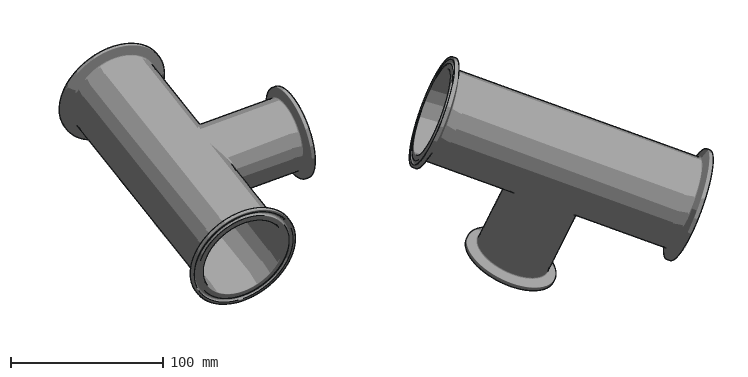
import cadquery as cq
import math

run_length = 184.2
branch_reach = 85.8
run_outer_radius = 63.5 / 2
run_bore_radius = 60.2 / 2
branch_outer_radius = 50.8 / 2
branch_bore_radius = 47.5 / 2
junction_fillet = 1.5

run_flange_radius = 77.3 / 2
branch_flange_radius = 63.9 / 2
rim_width = 2.8
cone_angle = 20.0
neck_fillet = 1.1
edge_fillet = 0.4
ferrule_length = 12.7

groove_inset = 3.3
groove_width = 3.0
groove_depth = 1.5


def ferrule(flange_radius, tube_radius, bore_radius):
    """Bored ferrule with its sealing face at z = 0, tapering along +Z down to the tube."""
    cone_length = (flange_radius - tube_radius) * math.tan(math.radians(cone_angle))
    cone_end = rim_width + cone_length

    neck_turn = math.radians(90 - cone_angle)
    tangent_length = neck_fillet * math.tan(neck_turn / 2)
    cone_direction = (math.cos(math.radians(cone_angle)), -math.sin(math.radians(cone_angle)))
    neck_start = (
        tube_radius + tangent_length * cone_direction[0],
        cone_end + tangent_length * cone_direction[1],
    )
    neck_end = (tube_radius, cone_end + tangent_length)

    groove_center = flange_radius - groove_inset
    groove_inner = groove_center - groove_width / 2
    groove_outer = groove_center + groove_width / 2
    body = (
        cq.Workplane("XZ")
        .moveTo(bore_radius, 0)
        .lineTo(groove_inner, 0)
        .threePointArc((groove_center, groove_depth), (groove_outer, 0))
        .lineTo(flange_radius, 0)
        .lineTo(flange_radius, rim_width)
        .lineTo(*neck_start)
        .tangentArcPoint(neck_end, relative=False)
        .lineTo(tube_radius, ferrule_length)
        .lineTo(bore_radius, ferrule_length)
        .close()
        .revolve(360, (0, 0, 0), (0, 1, 0))
    )

    rim_back = cq.selectors.BoxSelector(
        (-edge_fillet, -edge_fillet, rim_width - edge_fillet),
        (edge_fillet, edge_fillet, rim_width + edge_fillet),
    )
    eased_edges = body.faces("<Z").edges().add(body.edges(rim_back))
    return eased_edges.fillet(edge_fillet)


def run_cylinder(radius, length):
    """Cylinder along X, centred on the origin."""
    return cq.Workplane("YZ").workplane(offset=-length / 2).circle(radius).extrude(length)


def branch_cylinder(radius, length):
    """Cylinder along +Y, starting on the run axis."""
    return cq.Workplane("XZ").circle(radius).extrude(-length)


def tube_tee():
    """Bored run and branch tubes between the ferrules, filleted where they meet outside."""
    run_tube_length = run_length - 2 * ferrule_length
    branch_tube_reach = branch_reach - ferrule_length
    run = run_cylinder(run_outer_radius, run_tube_length)
    branch = branch_cylinder(branch_outer_radius, branch_tube_reach)
    junction_zone = cq.selectors.BoxSelector(
        (-run_outer_radius, 0, -run_outer_radius),
        (run_outer_radius, run_outer_radius + junction_fillet, run_outer_radius),
        boundingbox=True,
    )
    outside = run.union(branch).edges(junction_zone).fillet(junction_fillet)
    run_bore = run_cylinder(run_bore_radius, run_tube_length)
    branch_bore = branch_cylinder(branch_bore_radius, branch_tube_reach)
    return outside.cut(run_bore).cut(branch_bore)


left_ferrule = (
    ferrule(run_flange_radius, run_outer_radius, run_bore_radius)
    .rotate((0, 0, 0), (0, 1, 0), 90)
    .translate((-run_length / 2, 0, 0))
)
right_ferrule = left_ferrule.mirror("YZ")
branch_ferrule = (
    ferrule(branch_flange_radius, branch_outer_radius, branch_bore_radius)
    .rotate((0, 0, 0), (1, 0, 0), 90)
    .translate((0, branch_reach, 0))
)

result = tube_tee().union(left_ferrule).union(right_ferrule).union(branch_ferrule)